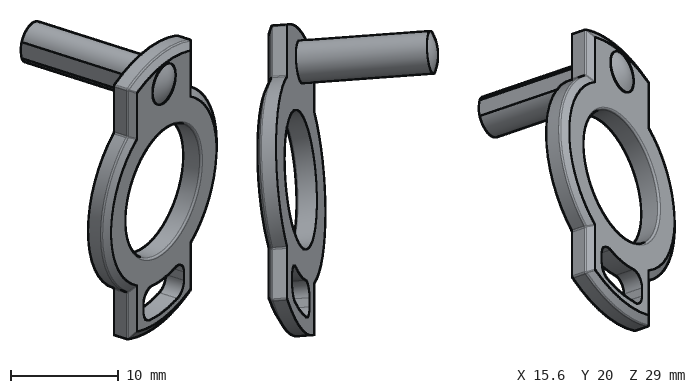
import math

import cadquery as cq

PLATE_THICKNESS = 2.0
RING_RADIUS = 10.0
BORE_RADIUS = 6.5
TAB_WIDTH = 11.0
TAB_END_RADIUS = 14.5

BEVEL_DEPTH = 0.5
BEVEL_ANGLE = 60.0
EDGE_ROUNDING = 0.2

SLOT_INNER_RADIUS = 9.4
SLOT_OUTER_RADIUS = 12.9
SLOT_LENGTH = 7.0
SLOT_INNER_CORNER_RADIUS = 1.25
SLOT_OUTER_CORNER_RADIUS = 1.4

PIN_RADIUS = 2.0
PIN_CENTRE_Z = 11.5
PIN_BACK_LENGTH = 12.5
PIN_PROTRUSION = 0.05
PIN_FLAT_OFFSET = 1.8
DOME_HEIGHT = 0.5


def z_on_circle(radius, y):
    """Height of the upper half of a circle about the origin, at a given Y."""
    return math.sqrt(radius**2 - y**2)


def plate_outline():
    """Ring with a round-ended tab above and below it."""
    half_width = TAB_WIDTH / 2
    shoulder_z = z_on_circle(RING_RADIUS, half_width)
    tab_corner_z = z_on_circle(TAB_END_RADIUS, half_width)
    return (
        cq.Workplane("YZ")
        .moveTo(half_width, shoulder_z)
        .lineTo(half_width, tab_corner_z)
        .threePointArc((0, TAB_END_RADIUS), (-half_width, tab_corner_z))
        .lineTo(-half_width, shoulder_z)
        .threePointArc((-RING_RADIUS, 0), (-half_width, -shoulder_z))
        .lineTo(-half_width, -tab_corner_z)
        .threePointArc((0, -TAB_END_RADIUS), (half_width, -tab_corner_z))
        .lineTo(half_width, -shoulder_z)
        .threePointArc((RING_RADIUS, 0), (half_width, shoulder_z))
        .close()
    )


def make_plate():
    """Plate with a bevelled front rim and lightly rounded outer edges."""
    bevel_start = PLATE_THICKNESS - BEVEL_DEPTH
    bevel_width = BEVEL_DEPTH * math.tan(math.radians(BEVEL_ANGLE))
    plate = plate_outline().extrude(PLATE_THICKNESS)
    plate = plate.faces(">X").chamfer(BEVEL_DEPTH, bevel_width)
    reach = TAB_END_RADIUS + EDGE_ROUNDING
    bevel_rim = cq.selectors.BoxSelector(
        (bevel_start - EDGE_ROUNDING, -reach, -reach),
        (bevel_start + EDGE_ROUNDING, reach, reach),
        boundingbox=True,
    )
    plate = plate.edges(bevel_rim).fillet(EDGE_ROUNDING)
    return plate.edges("|X").fillet(EDGE_ROUNDING)


def cut_bore(plate):
    """Central bore with its front edge rounded over."""
    bore = cq.Workplane("YZ").circle(BORE_RADIUS).extrude(PLATE_THICKNESS)
    smallest_circle = cq.selectors.RadiusNthSelector(0)
    return plate.cut(bore).faces(">X").edges(smallest_circle).fillet(EDGE_ROUNDING)


def make_slot():
    """Cutter for the slot: straight ends, arced sides, rounded corners."""
    half_length = SLOT_LENGTH / 2
    inner_z = -z_on_circle(SLOT_INNER_RADIUS, half_length)
    outer_z = -z_on_circle(SLOT_OUTER_RADIUS, half_length)
    return (
        cq.Workplane("YZ")
        .moveTo(half_length, inner_z)
        .threePointArc((0, -SLOT_INNER_RADIUS), (-half_length, inner_z))
        .lineTo(-half_length, outer_z)
        .threePointArc((0, -SLOT_OUTER_RADIUS), (half_length, outer_z))
        .close()
        .extrude(PLATE_THICKNESS)
        .edges("|X").edges(">Z")
        .fillet(SLOT_INNER_CORNER_RADIUS)
        .edges("|X").edges("<Z")
        .fillet(SLOT_OUTER_CORNER_RADIUS)
    )


def make_pin():
    """Round pin with domed ends; the flat runs from the back tip to the plate."""
    back_end = -PIN_BACK_LENGTH
    front_end = PLATE_THICKNESS + PIN_PROTRUSION
    dome_radius = (PIN_RADIUS**2 + DOME_HEIGHT**2) / (2 * DOME_HEIGHT)
    mid_angle = math.asin(PIN_RADIUS / dome_radius) / 2
    mid_radius = dome_radius * math.sin(mid_angle)
    mid_height = DOME_HEIGHT - dome_radius * (1 - math.cos(mid_angle))
    pin = (
        cq.Workplane("XY")
        .moveTo(back_end - DOME_HEIGHT, 0)
        .threePointArc((back_end - mid_height, mid_radius), (back_end, PIN_RADIUS))
        .lineTo(front_end, PIN_RADIUS)
        .threePointArc((front_end + mid_height, mid_radius), (front_end + DOME_HEIGHT, 0))
        .close()
        .revolve(360, (0, 0, 0), (1, 0, 0))
    )
    flat_cutter = (
        cq.Workplane("XY")
        .box(PIN_BACK_LENGTH + DOME_HEIGHT, PIN_RADIUS, 2 * PIN_RADIUS, centered=(False, False, True))
        .translate((back_end - DOME_HEIGHT, -PIN_FLAT_OFFSET - PIN_RADIUS, 0))
    )
    return pin.cut(flat_cutter).translate((0, 0, PIN_CENTRE_Z))


result = cut_bore(make_plate()).cut(make_slot()).union(make_pin())